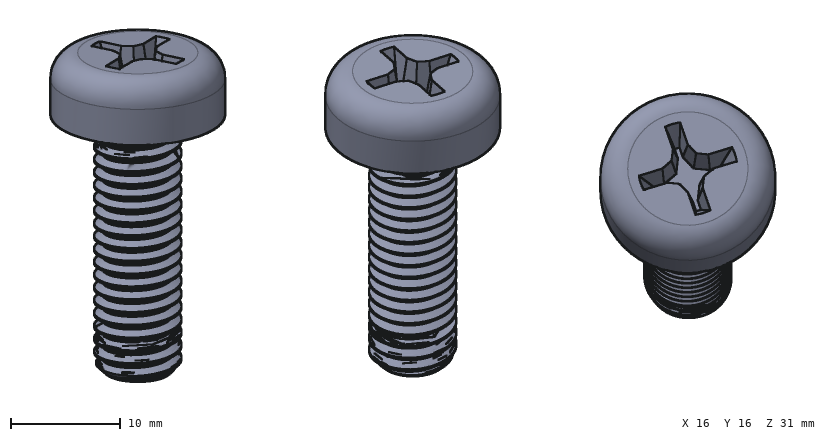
import cadquery as cq
import math

total_length = 31.0
head_diameter = 16.0
head_height = 6.0
head_edge_radius = 2.5

major_radius = 4.0
root_radius = 3.2
turns_on_shank = 20
crest_width = 0.15
flank_angle = 30.0
crest_offset = -0.15
tip_chamfer = 0.93
root_overlap = 0.05

recess_depth = 3.0
recess_top_radius = 4.53
recess_floor_radius = 3.15
wing_half_top = 0.7
wing_half_floor = 0.232
wing_root = 2.2
corner_top = 1.18
corner_floor = 0.85

shank_length = total_length - head_height
pitch = shank_length / turns_on_shank


def make_head():
    head = cq.Workplane("XY").workplane(offset=shank_length).circle(head_diameter / 2).extrude(head_height)
    return head.faces(">Z").edges().fillet(head_edge_radius)


def make_thread_ridge():
    """Right-handed ridge that overruns the shank by one pitch or more at both ends."""
    start_height = crest_offset - pitch
    ridge_height = (turns_on_shank + 3) * pitch
    inner_radius = root_radius - root_overlap
    crest_half = crest_width / 2
    base_half = crest_half + (major_radius - inner_radius) * math.tan(math.radians(flank_angle))
    path = cq.Wire.makeHelix(pitch, ridge_height, root_radius, center=cq.Vector(0, 0, start_height))
    profile = cq.Workplane("XZ").polyline([
        (inner_radius, start_height - base_half),
        (major_radius, start_height - crest_half),
        (major_radius, start_height + crest_half),
        (inner_radius, start_height + base_half),
    ]).close()
    return profile.sweep(cq.Workplane(path), isFrenet=True)


def make_shank():
    """Threaded shank, trimmed to its length and to the chamfered tip."""
    envelope_radius = major_radius + root_overlap
    envelope = (
        cq.Workplane("XY").circle(envelope_radius).extrude(shank_length)
        .faces("<Z").edges().chamfer(tip_chamfer + root_overlap)
    )
    overrun = 3 * pitch
    core = cq.Workplane("XY").workplane(offset=-overrun).circle(root_radius).extrude(shank_length + 2 * overrun)
    return core.union(make_thread_ridge()).intersect(envelope)


def cross_outline(half_width, corner):
    """Points of a four-wing cross, counterclockwise, with flared wing roots."""
    wing_end = recess_top_radius + wing_half_top
    quarter = [
        (wing_end, -half_width),
        (wing_end, half_width),
        (wing_root, half_width),
        (corner, corner),
        (half_width, wing_root),
    ]
    points = []
    for _ in range(4):
        points += quarter
        quarter = [(-y, x) for x, y in quarter]
    return points


def make_recess():
    floor = cq.Workplane("XY").workplane(offset=total_length - recess_depth)
    cross = (
        floor.polyline(cross_outline(wing_half_floor, corner_floor)).close()
        .workplane(offset=recess_depth)
        .polyline(cross_outline(wing_half_top, corner_top)).close()
        .loft(ruled=True)
    )
    cone = (
        floor.circle(recess_floor_radius)
        .workplane(offset=recess_depth).circle(recess_top_radius)
        .loft(ruled=True)
    )
    return cross.intersect(cone)


result = make_head().union(make_shank()).cut(make_recess())